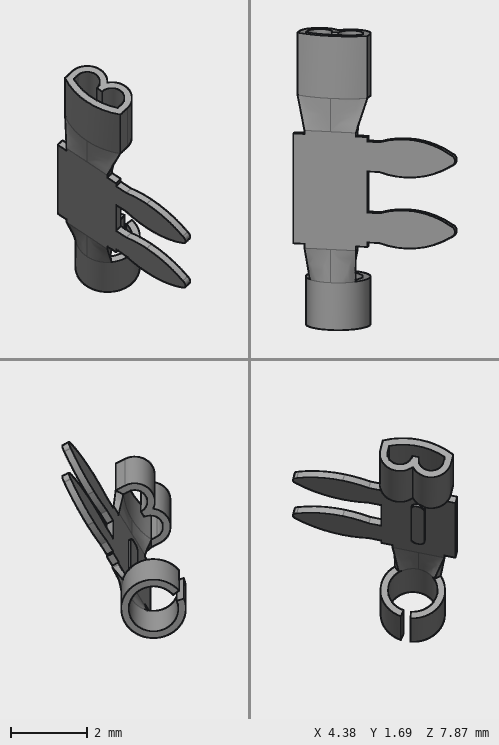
import cadquery as cq
import math


SHEET = 0.20

PLATE_HALF_WIDTH = 1.00
PLATE_HALF_HEIGHT = 1.47
NECK_HALF_WIDTH = 0.70
NECK_END_Z = 1.575

RIB_LENGTH = 2.00
RIB_WIDTH = 0.36
RIB_RISE = 0.07

FINGER_CENTER_Z = 0.95
FINGER_ROOT_HALF_WIDTH = 0.40
FINGER_BULGE_HALF_WIDTH = 0.51
FINGER_BULGE_START_X = 1.34
FINGER_WIDEST_X = 2.04
FINGER_NOSE_X = 3.28
FINGER_NOSE_HALF_WIDTH = 0.15
FINGER_TIP_X = 3.38

BARREL_START_Z = 2.465
UPPER_BARREL_LENGTH = 1.66
LOWER_BARREL_LENGTH = 1.275

HEART_HALF_WIDTH = 0.95
HEART_FLOOR_RADIUS = 2.00
HEART_LOBE_RADIUS = 0.53
HEART_LOBE_X = HEART_HALF_WIDTH - HEART_LOBE_RADIUS
HEART_LOBE_Y = 0.52

RING_RADIUS = 0.85
RING_BORE_RADIUS = RING_RADIUS - SHEET
RING_GAP_HALF_WIDTH = 0.127
RING_ROOT_HALF_WIDTH = 0.62


def lower_arc_offset(radius, x):
    """Y offset, from the arc centre, of the lower half of a circle at the given x."""
    return -math.sqrt(radius**2 - x**2)


def make_plate():
    body = cq.Workplane("XY").box(2 * PLATE_HALF_WIDTH, SHEET, 2 * PLATE_HALF_HEIGHT)
    necks = cq.Workplane("XY").box(2 * NECK_HALF_WIDTH, SHEET, 2 * NECK_END_Z)
    return body.union(necks).translate((0, SHEET / 2, 0))


def make_rib():
    return (
        cq.Workplane("XZ", origin=(0, SHEET, 0))
        .slot2D(RIB_LENGTH, RIB_WIDTH, 90)
        .extrude(-RIB_RISE)
    )


def make_finger(center_z):
    taper_length = FINGER_NOSE_X - FINGER_WIDEST_X
    taper_drop = FINGER_BULGE_HALF_WIDTH - FINGER_NOSE_HALF_WIDTH
    bulge_radius = (taper_length**2 + taper_drop**2) / (2 * taper_drop)
    widest = (FINGER_WIDEST_X, FINGER_BULGE_HALF_WIDTH)
    nose = (FINGER_NOSE_X, FINGER_NOSE_HALF_WIDTH)
    return (
        cq.Workplane("XZ", origin=(0, 0, center_z))
        .moveTo(0, -FINGER_ROOT_HALF_WIDTH)
        .lineTo(FINGER_BULGE_START_X, -FINGER_ROOT_HALF_WIDTH)
        .radiusArc((widest[0], -widest[1]), -bulge_radius)
        .radiusArc((nose[0], -nose[1]), -bulge_radius)
        .threePointArc((FINGER_TIP_X, 0), nose)
        .radiusArc(widest, -bulge_radius)
        .radiusArc((FINGER_BULGE_START_X, FINGER_ROOT_HALF_WIDTH), -bulge_radius)
        .lineTo(0, FINGER_ROOT_HALF_WIDTH)
        .close()
        .extrude(-SHEET)
    )


def heart_floor_corners():
    """Outer and inner corners where the heart's floor meets its right side wall."""
    inner_x = HEART_HALF_WIDTH - SHEET
    outer_y = HEART_FLOOR_RADIUS + lower_arc_offset(HEART_FLOOR_RADIUS, HEART_HALF_WIDTH)
    inner_y = HEART_FLOOR_RADIUS + lower_arc_offset(HEART_FLOOR_RADIUS - SHEET, inner_x)
    return (HEART_HALF_WIDTH, outer_y), (inner_x, inner_y)


def make_upper_barrel():
    outer, inner = heart_floor_corners()
    lobe_top = HEART_LOBE_Y + HEART_LOBE_RADIUS
    cusp_y = HEART_LOBE_Y + math.sqrt(HEART_LOBE_RADIUS**2 - HEART_LOBE_X**2)
    curl_x = HEART_LOBE_X - (HEART_LOBE_RADIUS - SHEET)
    section = (
        cq.Workplane("XY", origin=(0, 0, BARREL_START_Z))
        .moveTo(-outer[0], outer[1])
        .threePointArc((0, 0), outer)
        .lineTo(HEART_HALF_WIDTH, HEART_LOBE_Y)
        .threePointArc((HEART_LOBE_X, lobe_top), (0, cusp_y))
        .threePointArc((-HEART_LOBE_X, lobe_top), (-HEART_HALF_WIDTH, HEART_LOBE_Y))
        .close()
    )
    bore = (
        cq.Workplane("XY", origin=(0, 0, BARREL_START_Z))
        .moveTo(-inner[0], inner[1])
        .threePointArc((0, SHEET), inner)
        .lineTo(inner[0], HEART_LOBE_Y)
        .threePointArc((HEART_LOBE_X, lobe_top - SHEET), (curl_x, HEART_LOBE_Y))
        .lineTo(-curl_x, HEART_LOBE_Y)
        .threePointArc((-HEART_LOBE_X, lobe_top - SHEET), (-inner[0], HEART_LOBE_Y))
        .close()
    )
    return section.extrude(UPPER_BARREL_LENGTH).cut(bore.extrude(UPPER_BARREL_LENGTH))


def make_lower_barrel():
    gap_angle = math.asin(RING_GAP_HALF_WIDTH / RING_RADIUS)
    gap_x = math.sin(gap_angle)
    gap_y = math.cos(gap_angle)
    return (
        cq.Workplane("XY", origin=(0, RING_RADIUS, -BARREL_START_Z))
        .moveTo(-RING_RADIUS * gap_x, RING_RADIUS * gap_y)
        .threePointArc((0, -RING_RADIUS), (RING_RADIUS * gap_x, RING_RADIUS * gap_y))
        .lineTo(RING_BORE_RADIUS * gap_x, RING_BORE_RADIUS * gap_y)
        .threePointArc((0, -RING_BORE_RADIUS), (-RING_BORE_RADIUS * gap_x, RING_BORE_RADIUS * gap_y))
        .close()
        .extrude(-LOWER_BARREL_LENGTH)
    )


def curved_strip(z, outer, inner, outer_radius):
    """Bent sheet section at height z, with each arc split at the middle."""

    def half_arc(corner, middle_y, radius):
        half_x = corner[0] / 2
        half_y = outer_radius + lower_arc_offset(radius, half_x)
        middle = cq.Vector(0, middle_y, z)
        right = cq.Edge.makeThreePointArc(
            middle, cq.Vector(half_x, half_y, z), cq.Vector(*corner, z)
        )
        left = cq.Edge.makeThreePointArc(
            cq.Vector(-corner[0], corner[1], z), cq.Vector(-half_x, half_y, z), middle
        )
        return left, right

    outer_left, outer_right = half_arc(outer, 0, outer_radius)
    inner_left, inner_right = half_arc(inner, SHEET, outer_radius - SHEET)
    right_end = cq.Edge.makeLine(cq.Vector(*outer, z), cq.Vector(*inner, z))
    left_end = cq.Edge.makeLine(
        cq.Vector(-inner[0], inner[1], z), cq.Vector(-outer[0], outer[1], z)
    )
    edges = [outer_left, outer_right, right_end, inner_right, inner_left, left_end]
    return cq.Wire.assembleEdges(edges)


def flat_strip(z):
    """Flat neck section at height z, with each long side split at the middle."""
    points = [
        (-NECK_HALF_WIDTH, 0, z),
        (0, 0, z),
        (NECK_HALF_WIDTH, 0, z),
        (NECK_HALF_WIDTH, SHEET, z),
        (0, SHEET, z),
        (-NECK_HALF_WIDTH, SHEET, z),
    ]
    return cq.Wire.makePolygon([cq.Vector(*p) for p in points], close=True)


def make_transition(side, outer, inner, outer_radius):
    """Ruled sheet from the neck to a barrel; side is +1 for the upper end, -1 for the lower."""
    sections = [
        flat_strip(side * NECK_END_Z),
        curved_strip(side * BARREL_START_Z, outer, inner, outer_radius),
    ]
    return cq.Workplane(cq.Solid.makeLoft(sections, True))


def make_upper_transition():
    outer, inner = heart_floor_corners()
    return make_transition(1, outer, inner, HEART_FLOOR_RADIUS)


def make_lower_transition():
    inner_x = RING_ROOT_HALF_WIDTH * RING_BORE_RADIUS / RING_RADIUS
    outer = (RING_ROOT_HALF_WIDTH, RING_RADIUS + lower_arc_offset(RING_RADIUS, RING_ROOT_HALF_WIDTH))
    inner = (inner_x, RING_RADIUS + lower_arc_offset(RING_BORE_RADIUS, inner_x))
    return make_transition(-1, outer, inner, RING_RADIUS)


result = make_plate().union(make_rib())
for finger_z in (FINGER_CENTER_Z, -FINGER_CENTER_Z):
    result = result.union(make_finger(finger_z))
result = result.union(make_upper_transition()).union(make_upper_barrel())
result = result.union(make_lower_transition()).union(make_lower_barrel())